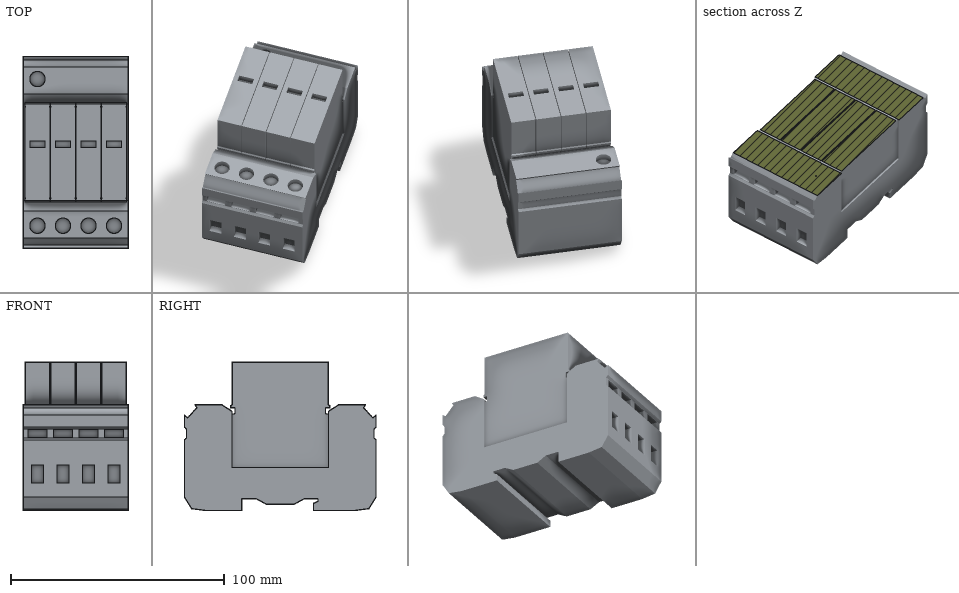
import cadquery as cq

base_width = 49.2
depth = 89.8
total_height = 69.5
half_depth = depth / 2

pole_count = 4
pole_pitch = 11.9
pole_gap = 0.31
module_width = pole_pitch - pole_gap

module_half_depth = 22.5
bay_floor_z = 20.1

terminal_top_z = 49.6
terminal_inner_edge_z = 46.5
terminal_inner_edge_y = 27.3
terminal_outer_edge_y = 40.0
shoulder_top_y = 39.1
shoulder_top_z = 48.1
shoulder_foot_y = 43.3
shoulder_foot_z = 43.5
lip_top_z = 44.7

groove_depth = 1.0
groove_top_z = 39.15
groove_bottom_z = 33.05
groove_slope = 1.0

bevel_top_z = 6.4
bevel_foot_y = 41.5
bevel_foot_z = 0.9
foot_outer_y = 34.5
rail_roof_z = 5.5
rail_front_y = -18.0
rail_hook_tip_y = 15.45
rail_hook_root_y = 17.6
rail_hook_tip_z = 3.4
rail_hook_root_z = 4.4
hump_bottom_z = 3.0
hump_bottom_half = 6.5
hump_top_half = 11.1

lug_reach = 0.7
lug_top_z = 49.5
lug_bottom_z = 48.1
lug_slope = 0.3
notch_depth = 1.3
notch_bottom_z = 45.3
notch_bevel = 0.3

opening_depth = 3.1
slot_width = 7.2
slot_depth_y = 3.1
slot_y = 3.8
screw_diameter = 7.2
screw_y = 34.3
clamp_width = 9.0
clamp_top_z = 37.9
clamp_bottom_z = 34.2
wire_width = 5.75
wire_top_z = 21.4
wire_bottom_z = 12.8

pole_xs = [(i - (pole_count - 1) / 2) * pole_pitch for i in range(pole_count)]


def extrude_profile(points, width, center_x):
    """Extrude a closed (y, z) outline along X, centred on center_x."""
    return (
        cq.Workplane("YZ", origin=(center_x - width / 2, 0, 0))
        .polyline(points)
        .close()
        .extrude(width)
    )


def mirrored(points):
    """Mirror (y, z) points front to back, reversed so the outline stays in order."""
    return [(-y, z) for y, z in reversed(points)]


def box_between(center_x, width, y_range, z_range):
    """Box centred on center_x that spans the given Y and Z ranges."""
    y_min, y_max = y_range
    z_min, z_max = z_range
    return cq.Workplane("XY").box(
        width, y_max - y_min, z_max - z_min, centered=(True, False, False)
    ).translate((center_x, y_min, z_min))


def make_base():
    """U-shaped base with two terminal blocks and a rail opening underneath."""
    groove_y = half_depth - groove_depth
    back_wall = [
        (foot_outer_y, 0),
        (bevel_foot_y, bevel_foot_z),
        (half_depth, bevel_top_z),
        (half_depth, groove_bottom_z),
        (groove_y, groove_bottom_z + groove_slope),
        (groove_y, groove_top_z - groove_slope),
        (half_depth, groove_top_z),
        (half_depth, lip_top_z),
        (shoulder_foot_y, shoulder_foot_z),
        (shoulder_top_y, shoulder_top_z),
        (terminal_outer_edge_y, terminal_top_z),
        (terminal_inner_edge_y, terminal_top_z),
        (module_half_depth, terminal_inner_edge_z),
        (module_half_depth, bay_floor_z),
    ]
    rail_opening = [
        (rail_front_y, 0),
        (rail_front_y, rail_roof_z),
        (-hump_top_half, rail_roof_z),
        (-hump_bottom_half, hump_bottom_z),
        (hump_bottom_half, hump_bottom_z),
        (hump_top_half, rail_roof_z),
        (rail_hook_root_y, rail_roof_z),
        (rail_hook_root_y, rail_hook_root_z),
        (rail_hook_tip_y, rail_hook_tip_z),
        (rail_hook_tip_y, 0),
    ]
    return extrude_profile(back_wall + mirrored(back_wall) + rail_opening, base_width, 0)


def make_module(center_x):
    """Plug-in module with a latch lug and notch front and back and a slot in its top."""
    lug_y = module_half_depth + lug_reach
    notch_y = module_half_depth - notch_depth
    back_side = [
        (module_half_depth, bay_floor_z),
        (module_half_depth, notch_bottom_z),
        (notch_y + notch_bevel, notch_bottom_z),
        (notch_y, notch_bottom_z + notch_bevel),
        (notch_y, lug_bottom_z),
        (lug_y, lug_bottom_z),
        (lug_y, lug_top_z - lug_slope),
        (module_half_depth, lug_top_z),
        (module_half_depth, total_height),
    ]
    body = extrude_profile(back_side + mirrored(back_side), module_width, center_x)
    slot_y_range = (slot_y - slot_depth_y / 2, slot_y + slot_depth_y / 2)
    slot = box_between(center_x, slot_width, slot_y_range, (total_height - opening_depth, total_height))
    return body.cut(slot)


def screw_hole(center_x, center_y):
    """Blind round hole in the top of a terminal block."""
    return (
        cq.Workplane("XY", origin=(center_x, center_y, terminal_top_z - opening_depth))
        .circle(screw_diameter / 2)
        .extrude(opening_depth)
    )


def clamp_window(center_x):
    """Blind window in the floor of the front groove."""
    groove_floor_y = -half_depth + groove_depth
    return box_between(
        center_x, clamp_width, (groove_floor_y, groove_floor_y + opening_depth), (clamp_bottom_z, clamp_top_z)
    )


def wire_window(center_x):
    """Blind wire entry in the front wall."""
    return box_between(
        center_x, wire_width, (-half_depth, -half_depth + opening_depth), (wire_bottom_z, wire_top_z)
    )


result = make_base()

for pole_x in pole_xs:
    result = result.cut(screw_hole(pole_x, -screw_y))
    result = result.cut(clamp_window(pole_x))
    result = result.cut(wire_window(pole_x))

result = result.cut(screw_hole(pole_xs[0], screw_y))

for pole_x in pole_xs:
    result = result.union(make_module(pole_x))